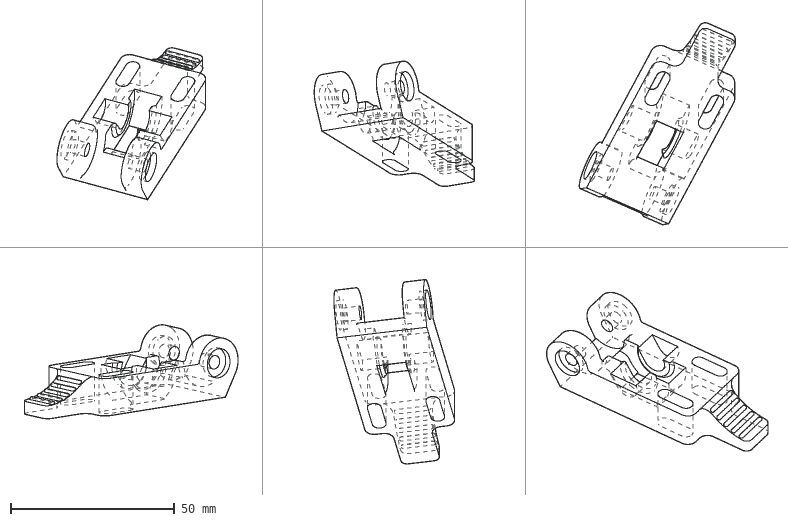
import cadquery as cq
import math


width = 28.0
body_top = 11.65
body_end = 45.9
corner_radius = 3.0
pivot_z = 10.95
lug_radius = 7.8
lug_top = pivot_z + lug_radius
slant_angle = 30
lug_root_radius = 1.0

trough_radius = 8.2
trough_width = 14.4
trough_edge_radius = 0.5
trough_back_radius = 1.0

pin_radius = 2.1
counterbore_radius = 4.5
counterbore_depth = 2.0

tab_end = 61.95
tab_width = 12.0
tab_thickness = 4.05
tab_tip_radius = 2.0

rib_count = 5
rib_radius = 0.7
rib_length = 9.9
first_rib_angle = 9.1
rib_pitch_angle = 8.4

slot_spacing = 18.2
slot_width = 4.25
slot_length = 12.2
slot_y = 37.0

socket_y = 20.1
socket_z = 9.75
bowl_width = 9.1
bowl_radius = 11.3
bowl_mouth_radius = 0.5
shelf_z = 5.85
shelf_lip_radius = 3.0

socket_width = 22.2
socket_radius = 4.0
socket_ramp_angle = 57
boss_gap = 7.0
boss_tip_radius = 5.85

overshoot = 0.7
margin = 0.1


def x_cylinder(radius, length, y, z):
    """Cylinder along X, centred on x = 0."""
    return cq.Workplane("YZ").center(y, z).circle(radius).extrude(length / 2, both=True)


def x_prism(profile, length):
    """Extrude a closed YZ profile along X, centred on x = 0."""
    return profile.extrude(length / 2, both=True)


ramp_run = tab_end - body_end
ramp_rise = body_top - tab_thickness
ramp_radius = (ramp_run**2 + ramp_rise**2) / (2 * ramp_rise)
ramp_z = tab_thickness + ramp_radius


def ramp_point(angle):
    """Point on the ramp arc, with the angle measured from its horizontal start."""
    a = math.radians(angle)
    return tab_end - ramp_radius * math.sin(a), ramp_z - ramp_radius * math.cos(a)


def side_profile():
    """Outline in YZ: tab, ramp, body top, round lug and the slanted front."""
    slant = math.radians(slant_angle)
    slant_y = -lug_radius * math.cos(slant)
    slant_z = pivot_z - lug_radius * math.sin(slant)
    foot_y = slant_y + slant_z * math.tan(slant)

    root_reach = lug_radius + lug_root_radius
    root_z = body_top + lug_root_radius
    root_y = math.sqrt(root_reach**2 - (root_z - pivot_z) ** 2)
    lug_share = lug_radius / root_reach
    root_end = (root_y * lug_share, pivot_z + (root_z - pivot_z) * lug_share)

    ramp_angle = math.degrees(math.asin(ramp_run / ramp_radius))
    return (
        cq.Workplane("YZ")
        .moveTo(foot_y, 0)
        .lineTo(tab_end, 0)
        .lineTo(tab_end, tab_thickness)
        .threePointArc(ramp_point(ramp_angle / 2), (body_end, body_top))
        .lineTo(root_y, body_top)
        .tangentArcPoint(root_end, relative=False)
        .threePointArc((0, lug_top), (slant_y, slant_z))
        .close()
    )


def plan_block():
    """Plan outline of body and tab at full height, with rounded corners and tab roots."""
    height = lug_top
    front = -lug_radius
    body = (
        cq.Workplane("XY")
        .rect(width, body_end - front)
        .extrude(height)
        .translate((0, (body_end + front) / 2, 0))
        .edges("|Z and >Y")
        .fillet(corner_radius)
    )
    tab = (
        cq.Workplane("XY")
        .rect(tab_width, tab_end)
        .extrude(height)
        .translate((0, tab_end / 2, 0))
        .edges("|Z and >Y")
        .fillet(tab_tip_radius)
    )
    half_tab = tab_width / 2
    root_edges = cq.selectors.BoxSelector(
        (-half_tab - margin, body_end - margin, 0),
        (half_tab + margin, body_end + margin, height),
    )
    return body.union(tab).edges("|Z").edges(root_edges).fillet(corner_radius)


def lug_wall():
    """Right-hand side of the body with its lug, rounded along the edge facing the trough."""
    inner_x = trough_width / 2
    wall = side_profile().extrude(width / 2 - inner_x).translate((inner_x, 0, 0))
    rim = cq.selectors.BoxSelector(
        (inner_x - margin, -lug_radius, margin),
        (inner_x + margin, body_end - margin, lug_top),
    )
    return wall.faces("<X").edges(rim).fillet(trough_edge_radius)


def middle_block():
    """Body between the lugs: round trough about the hinge axis, with both rims rounded.

    It overlaps the walls by the rim radius, so the rounded rims meet in mitred corners.
    """
    block_width = trough_width + 2 * trough_edge_radius
    headroom = (
        cq.Workplane("XY", origin=(0, 0, body_top))
        .rect(block_width, 4 * lug_radius)
        .extrude(2 * lug_radius)
    )
    trough = x_cylinder(trough_radius, block_width, 0, pivot_z)
    block = x_prism(side_profile(), block_width).cut(headroom).cut(trough)

    back_y = math.sqrt(trough_radius**2 - (body_top - pivot_z) ** 2)
    rim_angle = math.radians(slant_angle) + math.acos(lug_radius / trough_radius)
    front_y = -trough_radius * math.cos(rim_angle)
    front_z = pivot_z - trough_radius * math.sin(rim_angle)
    back_rim = cq.selectors.NearestToPointSelector((0, back_y, body_top))
    front_rim = cq.selectors.NearestToPointSelector((0, front_y, front_z))
    return block.edges(back_rim).fillet(trough_back_radius).edges(front_rim).fillet(trough_edge_radius)


def bowl_mouth():
    """Rounded front and back edges where the bowl breaks through the bottom face."""
    reach = bowl_radius + bowl_mouth_radius
    drop = socket_z - bowl_mouth_radius
    half_length = math.sqrt(reach**2 - drop**2)
    height = bowl_mouth_radius * (1 + drop / reach)
    mouth = cq.Workplane("XY", origin=(0, socket_y, 0)).rect(bowl_width, 2 * half_length).extrude(height)
    for offset in (-half_length, half_length):
        mouth = mouth.cut(x_cylinder(bowl_mouth_radius, bowl_width, socket_y + offset, bowl_mouth_radius))
    return mouth


def bowl():
    """Bowl about an X axis whose front side rolls over onto a flat shelf."""
    lip_z = shelf_z - shelf_lip_radius
    reach = bowl_radius + shelf_lip_radius
    lip_y = socket_y - math.sqrt(reach**2 - (socket_z - lip_z) ** 2)
    share = shelf_lip_radius / reach
    lip_start = (lip_y + (socket_y - lip_y) * share, lip_z + (socket_z - lip_z) * share)
    roof = body_top + overshoot
    front_opening = x_prism(
        cq.Workplane("YZ")
        .moveTo(0, shelf_z)
        .lineTo(lip_y, shelf_z)
        .tangentArcPoint(lip_start, relative=False)
        .lineTo(socket_y, socket_z)
        .lineTo(socket_y, roof)
        .lineTo(0, roof)
        .close(),
        bowl_width,
    )
    return x_cylinder(bowl_radius, bowl_width, socket_y, socket_z).union(front_opening).union(bowl_mouth())


def boss(side):
    """45 degree conical boss on one bowl wall, around the socket."""
    wall_x = bowl_width / 2
    boss_height = (bowl_width - boss_gap) / 2
    cone = cq.Solid.makeCone(
        boss_tip_radius + boss_height,
        boss_tip_radius,
        boss_height,
        pnt=cq.Vector(side * wall_x, socket_y, socket_z),
        dir=cq.Vector(-side, 0, 0),
    )
    return cq.Workplane(cone)


def socket():
    """Round cross socket that opens to the top along a tangent slope in front."""
    a = math.radians(socket_ramp_angle)
    ramp_y = socket_y - socket_radius * math.sin(a)
    ramp_base = socket_z - socket_radius * math.cos(a)
    roof = body_top + overshoot
    back_y = socket_y + math.sqrt(socket_radius**2 - (body_top - socket_z) ** 2)
    opening = x_prism(
        cq.Workplane("YZ")
        .moveTo(ramp_y, ramp_base)
        .lineTo(ramp_y - (roof - ramp_base) / math.tan(a), roof)
        .lineTo(back_y, roof)
        .lineTo(back_y, body_top)
        .lineTo(socket_y, socket_z)
        .close(),
        socket_width,
    )
    return x_cylinder(socket_radius, socket_width, socket_y, socket_z).union(opening)


def slots():
    """Pair of long mounting slots right through the body."""
    return (
        cq.Workplane("XY")
        .pushPoints([(-slot_spacing / 2, slot_y), (slot_spacing / 2, slot_y)])
        .slot2D(slot_length, slot_width, 90)
        .extrude(body_top)
    )


wall = lug_wall()
part = middle_block().union(wall).union(wall.mirror("YZ")).intersect(plan_block())

bowl_cut = bowl().cut(boss(-1)).cut(boss(1))
part = part.cut(bowl_cut).cut(socket()).cut(slots())

part = part.cut(x_cylinder(pin_radius, width, 0, pivot_z))
for side in (-1, 1):
    counterbore = x_cylinder(counterbore_radius, 2 * counterbore_depth, 0, pivot_z)
    part = part.cut(counterbore.translate((side * width / 2, 0, 0)))

for index in range(rib_count):
    rib_y, rib_z = ramp_point(first_rib_angle + index * rib_pitch_angle)
    part = part.union(x_cylinder(rib_radius, rib_length, rib_y, rib_z))
    for side in (-1, 1):
        ball = cq.Workplane("XY").sphere(rib_radius)
        part = part.union(ball.translate((side * rib_length / 2, rib_y, rib_z)))

result = part